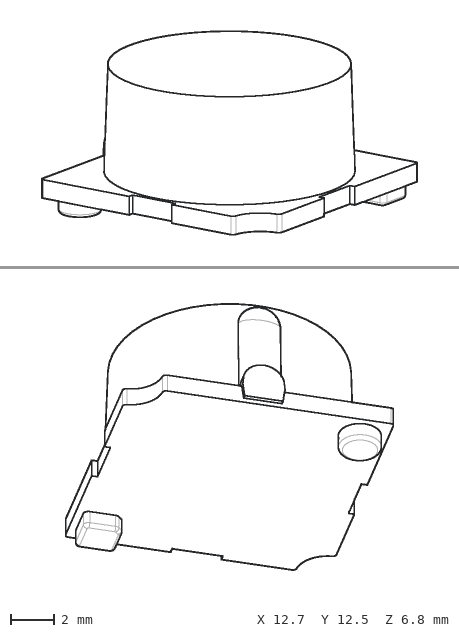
import cadquery as cq

plate_side = 12.5
plate_thickness = 0.89
foot_height = 0.79
total_height = 6.8
total_length = 12.7
plate_half = plate_side / 2
plate_top = foot_height + plate_thickness

corner_bite_radius = 1.52
corner_fillet = 0.18
notch_width = 2.41
notch_depth = 0.28

body_base_radius = 5.79
body_top_radius = 5.61
body_height = total_height - plate_top

rib_half_width = 1.0
rib_top = 6.67
rib_arch_center = rib_top - rib_half_width
rib_reach = 6.24
rib_draft = (body_base_radius - body_top_radius) / body_height
rib_depth = 0.51
rib_root = 0.51

tab_reach = total_length - plate_half
tab_inner_reach = 5.59
tab_top = 2.88
tab_arch_start = 2.16
tab_arch_half_width = 0.95
tab_half_width = 1.0
tab_bottom = 1.02
tab_bottom_half_width = 0.91

foot_center = 4.94
round_foot_radius = 0.99
square_foot_side = 1.88
square_foot_corner = 0.24
square_foot_chamfer = 0.3
foot_edge_fillet = 0.18


def make_plate():
    """Square plate with two bitten corners and three edge notches."""
    plate = cq.Workplane("XY").box(plate_side, plate_side, plate_thickness)
    bites = (
        cq.Workplane("XY")
        .pushPoints([(-plate_half, plate_half), (plate_half, -plate_half)])
        .circle(corner_bite_radius)
        .extrude(plate_thickness, both=True)
    )
    plate = plate.cut(bites).edges("|Z").fillet(corner_fillet)
    for angle in (-90, 0, 90):
        notch = cq.Workplane("XY").box(2 * notch_depth, notch_width, plate_thickness)
        notch = notch.translate((plate_half, 0, 0))
        plate = plate.cut(notch.rotate((0, 0, 0), (0, 0, 1), angle))
    return plate.translate((0, 0, foot_height + plate_thickness / 2))


def make_body():
    """Truncated cone rising from the plate."""
    return cq.Workplane(cq.Solid.makeCone(
        body_base_radius, body_top_radius, body_height, cq.Vector(0, 0, plate_top)
    ))


def rib_center(height):
    """X position of the rib's elliptic section, which leans in with the body."""
    return -rib_reach + rib_depth + rib_draft * (height - plate_top)


def rib_section(height):
    """Half-elliptic rib outline at a height, with straight sides rooted in the body."""
    section = cq.Workplane("XY", origin=(rib_center(height), 0, height))
    return (
        section.ellipseArc(rib_depth, rib_half_width, 90, 270, startAtCurrent=False)
        .lineTo(rib_root, -rib_half_width)
        .lineTo(rib_root, rib_half_width)
        .close()
        .wires().val()
    )


def make_rib():
    """Leaning rib closed at the top by an ellipsoidal dome with a straight root."""
    sections = [rib_section(plate_top), rib_section(rib_arch_center)]
    shaft = cq.Workplane(cq.Solid.makeLoft(sections, True))
    dome = (
        cq.Workplane("XZ", origin=(rib_center(rib_arch_center), 0, rib_arch_center))
        .ellipseArc(rib_depth, rib_half_width, 90, 180, startAtCurrent=False)
        .lineTo(rib_root, 0)
        .lineTo(rib_root, rib_half_width)
        .close()
        .revolve(360, (0, 0, 0), (1, 0, 0))
    )
    return shaft.union(dome)


def make_tab():
    """Arch-topped tab standing against the plate edge and the rib."""
    return (
        cq.Workplane("YZ", origin=(-tab_reach, 0, 0))
        .moveTo(-tab_bottom_half_width, tab_bottom)
        .lineTo(-tab_half_width, plate_top)
        .lineTo(-tab_arch_half_width, tab_arch_start)
        .threePointArc((0, tab_top), (tab_arch_half_width, tab_arch_start))
        .lineTo(tab_half_width, plate_top)
        .lineTo(tab_bottom_half_width, tab_bottom)
        .close()
        .extrude(tab_reach - tab_inner_reach)
    )


def make_feet():
    """Round foot and square foot with a cut inner corner, under opposite plate corners."""
    round_foot = (
        cq.Workplane("XY")
        .center(-foot_center, -foot_center)
        .circle(round_foot_radius)
        .extrude(foot_height)
        .faces("<Z").edges().fillet(foot_edge_fillet)
    )
    square_foot = (
        cq.Workplane("XY")
        .center(foot_center, foot_center)
        .rect(square_foot_side, square_foot_side)
        .extrude(foot_height)
        .edges("|Z").edges("<X").edges("<Y").chamfer(square_foot_chamfer)
        .edges("|Z").fillet(square_foot_corner)
        .faces("<Z").edges().fillet(foot_edge_fillet)
    )
    return round_foot.union(square_foot)


result = make_plate().union(make_body()).union(make_rib()).union(make_tab()).union(make_feet())